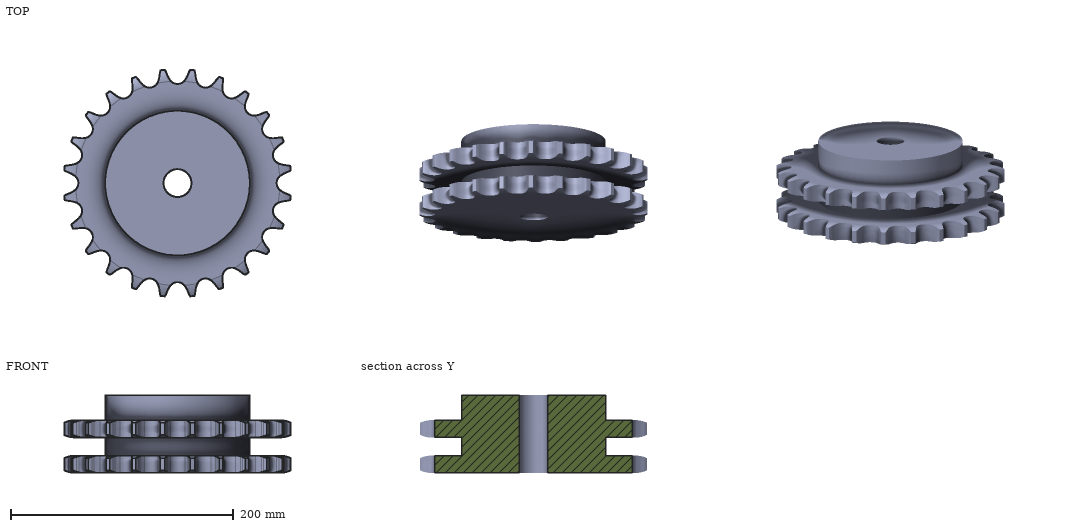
import cadquery as cq
import math


tooth_count = 24
pitch_diameter = 194.6
roller_diameter = 16.0
seat_clearance = 0.05
tip_diameter = 205.5
tooth_width = 15.7
row_spacing = 31.9
bevel_start_diameter = 183.8
hub_diameter = 130.0
bore_diameter = 25.0
total_height = 70.0
cut_margin = 4.0

SEAT_FACTOR = 0.5025
WORKING_OFFSET_FACTOR = 0.8
TOPPING_OFFSET_FACTOR = 1.4

SEAT_END_BASE, SEAT_END_CORRECTION = 35, 60
WORKING_SWEEP_BASE, WORKING_SWEEP_CORRECTION = 18, -56
TOPPING_BASE, TOPPING_CORRECTION = 17, -64

pitch_radius = pitch_diameter / 2
tip_radius = tip_diameter / 2
outer_radius = tip_radius + cut_margin
tooth_angle = 360 / tooth_count
chain_pitch = pitch_diameter * math.sin(math.pi / tooth_count)

seat_radius = SEAT_FACTOR * roller_diameter + seat_clearance
working_offset = WORKING_OFFSET_FACTOR * roller_diameter
working_radius = seat_radius + working_offset
topping_offset = TOPPING_OFFSET_FACTOR * roller_diameter

seat_end_angle = math.radians(SEAT_END_BASE + SEAT_END_CORRECTION / tooth_count)
working_sweep = math.radians(WORKING_SWEEP_BASE + WORKING_SWEEP_CORRECTION / tooth_count)
working_end_angle = seat_end_angle - working_sweep
topping_angle = math.radians(TOPPING_BASE + TOPPING_CORRECTION / tooth_count)

straight_length = topping_offset * math.sin(topping_angle) - working_offset * math.sin(working_sweep)
topping_radius = (
    working_offset * math.cos(working_sweep)
    + topping_offset * math.cos(topping_angle)
    - working_radius
)


def point_on_circle(center, radius, angle):
    return center[0] + radius * math.cos(angle), center[1] + radius * math.sin(angle)


def mirrored(point):
    return -point[0], point[1]


def make_gap_cutter():
    """Prism of the space between two teeth, with its centreline along +Y."""
    roller_center = (0, pitch_radius)
    root = (0, pitch_radius - seat_radius)
    seat_middle = point_on_circle(roller_center, seat_radius, -(math.pi / 2 + seat_end_angle) / 2)
    seat_end = point_on_circle(roller_center, seat_radius, -seat_end_angle)

    working_center = point_on_circle(roller_center, working_offset, math.pi - seat_end_angle)
    working_middle = point_on_circle(
        working_center, working_radius, -(seat_end_angle + working_end_angle) / 2
    )
    working_end = point_on_circle(working_center, working_radius, -working_end_angle)

    straight_end = point_on_circle(working_end, straight_length, math.pi / 2 - working_end_angle)

    topping_center = point_on_circle(straight_end, topping_radius, -working_end_angle)
    topping_start_angle = math.pi - working_end_angle
    topping_end_angle = math.pi - math.asin((outer_radius - topping_center[1]) / topping_radius)
    topping_middle = point_on_circle(
        topping_center, topping_radius, (topping_start_angle + topping_end_angle) / 2
    )
    topping_end = point_on_circle(topping_center, topping_radius, topping_end_angle)

    outline = (
        cq.Workplane("XY")
        .moveTo(*root)
        .threePointArc(seat_middle, seat_end)
        .threePointArc(working_middle, working_end)
        .lineTo(*straight_end)
        .threePointArc(topping_middle, topping_end)
        .lineTo(*mirrored(topping_end))
        .threePointArc(mirrored(topping_middle), mirrored(straight_end))
        .lineTo(*mirrored(working_end))
        .threePointArc(mirrored(working_middle), mirrored(seat_end))
        .threePointArc(mirrored(seat_middle), root)
        .close()
    )
    return outline.extrude(tooth_width)


def make_blank():
    """Disc whose rim narrows towards the tips along arcs tangent to its flat sides."""
    bevel_start = bevel_start_diameter / 2
    bevel_radius = chain_pitch

    def bevel_depth(radius):
        return bevel_radius - math.sqrt(bevel_radius**2 - (radius - bevel_start) ** 2)

    bevel_middle = (bevel_start + tip_radius) / 2
    middle_depth = bevel_depth(bevel_middle)
    tip_depth = bevel_depth(tip_radius)
    half_section = (
        cq.Workplane("XZ")
        .lineTo(bevel_start, 0)
        .threePointArc((bevel_middle, middle_depth), (tip_radius, tip_depth))
        .lineTo(tip_radius, tooth_width - tip_depth)
        .threePointArc((bevel_middle, tooth_width - middle_depth), (bevel_start, tooth_width))
        .lineTo(0, tooth_width)
        .close()
    )
    return half_section.revolve(360, (0, 0), (0, 1))


def make_tooth_row():
    gap_cutter = make_gap_cutter().val()
    gap_cutters = [
        gap_cutter.rotate(cq.Vector(0, 0, 0), cq.Vector(0, 0, 1), index * tooth_angle)
        for index in range(tooth_count)
    ]
    return make_blank().cut(cq.Workplane(cq.Compound.makeCompound(gap_cutters)))


tooth_row = make_tooth_row()
hub = cq.Workplane("XY").circle(hub_diameter / 2).extrude(total_height)
bore = cq.Workplane("XY").circle(bore_diameter / 2).extrude(total_height)

result = hub.union(tooth_row).union(tooth_row.translate((0, 0, row_spacing))).cut(bore)